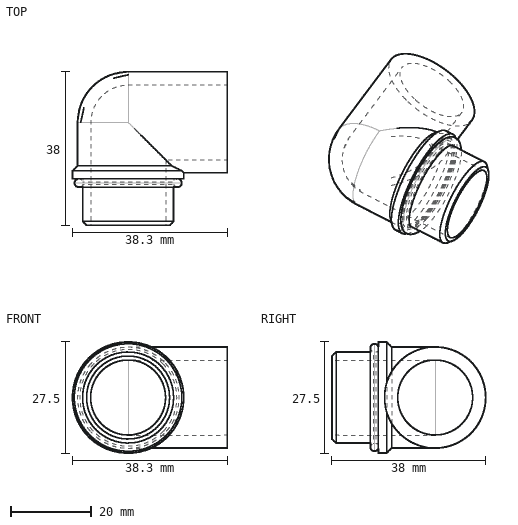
import cadquery as cq

body_radius = 12.5
bore_radius = 9.25
pipe_length = 24.5

spigot_radius = 11.25
spigot_reach = 25.47
spigot_chamfer = 1.0

flange_radius = 13.75
flange_face = 14.0
flange_thickness = 2.0
flange_cone_start = flange_face - flange_thickness - (flange_radius - body_radius)

ring_outer_radius = 13.27
ring_bite = 0.05
ring_section_radius = (ring_outer_radius - spigot_radius + ring_bite) / 2
ring_centre_radius = ring_outer_radius - ring_section_radius
ring_centre_distance = flange_face + ring_section_radius - ring_bite


def revolve_about_y(profile):
    return profile.revolve(360, (0, 0, 0), (0, 1, 0))


def pipe_along_x(radius):
    return cq.Workplane("YZ").circle(radius).extrude(pipe_length)


def pipe_along_minus_y(radius, length):
    return cq.Workplane("XZ").circle(radius).extrude(length)


def elbow(radius, spigot_side_length):
    ball = cq.Workplane("XY").sphere(radius)
    return ball.union(pipe_along_x(radius)).union(pipe_along_minus_y(radius, spigot_side_length))


def flange():
    profile = cq.Workplane("XY").polyline([
        (0, -flange_cone_start),
        (body_radius, -flange_cone_start),
        (flange_radius, -(flange_face - flange_thickness)),
        (flange_radius, -flange_face),
        (0, -flange_face),
    ]).close()
    return revolve_about_y(profile)


def spigot():
    return pipe_along_minus_y(spigot_radius, spigot_reach).faces("<Y").chamfer(spigot_chamfer)


def sealing_ring():
    section = cq.Workplane("XY").center(ring_centre_radius, -ring_centre_distance)
    section = section.circle(ring_section_radius)
    return section.revolve(360, (-ring_centre_radius, 0, 0), (-ring_centre_radius, 1, 0))


outside = elbow(body_radius, flange_face).union(flange()).union(spigot()).union(sealing_ring())
result = outside.cut(elbow(bore_radius, spigot_reach))